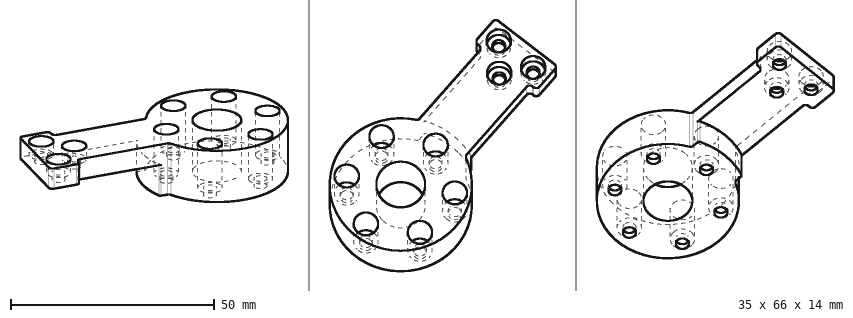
import cadquery as cq
import math

total_length = 66.0
hub_height = 14.0
hub_radius = 17.5
bore_diameter = 12.0

arm_width = 15.0
arm_thickness = 5.55
foot_width = 19.8
foot_length = 8.0
foot_corner_radius = 1.0
hub_arm_fillet = 0.8

stub_radius = 19.8
stub_corner_fillet = 0.5

screw_diameter = 3.25
head_diameter = 6.0
hub_screw_count = 6
hub_screw_circle_radius = 13.45
head_floor_thickness = 2.0
foot_pair_spacing = 10.95
foot_pair_edge_distance = 4.0
foot_single_edge_distance = 10.5

arm_bottom = hub_height - arm_thickness
foot_end_y = hub_radius - total_length
foot_inner_y = foot_end_y + foot_length
foot_pair_y = foot_end_y + foot_pair_edge_distance
foot_single_y = foot_end_y + foot_single_edge_distance

hub_head_depth = hub_height - head_floor_thickness
foot_head_depth = arm_thickness - head_floor_thickness


def box_between(width, y_low, y_high, z_low, z_high):
    """Box centred on X = 0 that spans the given Y and Z limits."""
    return (
        cq.Workplane("XY", origin=(0, 0, z_low))
        .center(0, (y_low + y_high) / 2)
        .rect(width, y_high - y_low)
        .extrude(z_high - z_low)
    )


def cut_screw_holes(body, points, head_depth):
    """Counterbored through holes sunk from the top face."""
    return (
        body.faces(">Z")
        .workplane(origin=(0, 0, hub_height))
        .pushPoints(points)
        .cboreHole(screw_diameter, head_diameter, head_depth)
    )


def make_stub():
    """Arm-wide block from the hub axis out to an arc, with rounded corners."""
    disc = cq.Workplane("XY").circle(stub_radius).extrude(hub_height)
    strip = box_between(arm_width, -total_length, 0, 0, hub_height)
    return disc.intersect(strip).edges("|Z").edges("not >Y").fillet(stub_corner_fillet)


def make_arm():
    """Thin arm with a wider foot plate, rounded at its corners and neck."""
    bar = box_between(arm_width, foot_end_y, 0, arm_bottom, hub_height)
    foot = box_between(foot_width, foot_end_y, foot_inner_y, arm_bottom, hub_height)
    return bar.union(foot).edges("|Z").edges("not >Y").fillet(foot_corner_radius)


def make_root_fillets():
    """Full-height concave fillets where the arm sides meet the hub."""
    centre_x = arm_width / 2 + hub_arm_fillet
    centre_distance = hub_radius + hub_arm_fillet
    centre_y = -math.sqrt(centre_distance**2 - centre_x**2)
    tangent_x = centre_x * hub_radius / centre_distance
    tangent_y = centre_y * hub_radius / centre_distance
    wedge = (
        cq.Workplane("XY")
        .moveTo(0, 0)
        .lineTo(tangent_x, tangent_y)
        .lineTo(centre_x, centre_y)
        .lineTo(0, centre_y)
        .close()
        .extrude(hub_height)
    )
    relief = cq.Workplane("XY").center(centre_x, centre_y).circle(hub_arm_fillet).extrude(hub_height)
    fillet = wedge.cut(relief)
    return fillet.union(fillet.mirror("YZ"))


hub = cq.Workplane("XY").circle(hub_radius).extrude(hub_height)
body = hub.union(make_stub()).union(make_arm()).union(make_root_fillets())

bore = cq.Workplane("XY").circle(bore_diameter / 2).extrude(hub_height)
body = body.cut(bore)

hub_screw_points = []
for index in range(hub_screw_count):
    angle = 2 * math.pi * index / hub_screw_count
    x = hub_screw_circle_radius * math.sin(angle)
    y = hub_screw_circle_radius * math.cos(angle)
    hub_screw_points.append((x, y))

foot_screw_points = [
    (-foot_pair_spacing / 2, foot_pair_y),
    (foot_pair_spacing / 2, foot_pair_y),
    (0, foot_single_y),
]

body = cut_screw_holes(body, hub_screw_points, hub_head_depth)
result = cut_screw_holes(body, foot_screw_points, foot_head_depth)